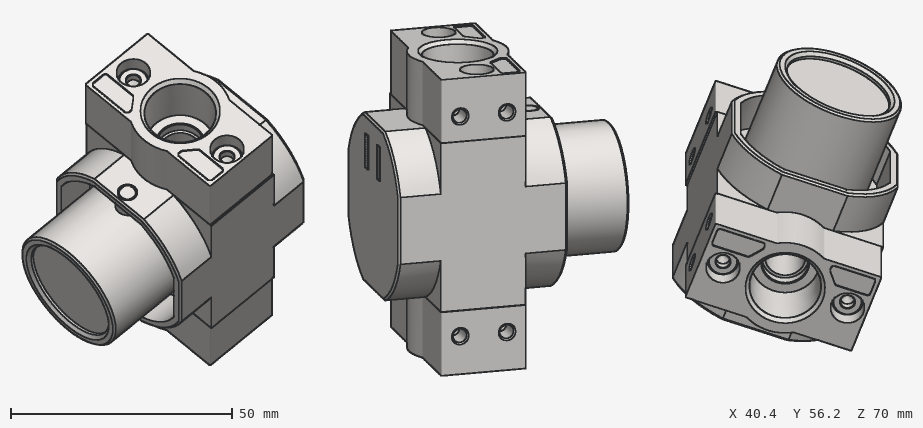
import cadquery as cq
import math

HOUSING_SIDE = 40.0
BARREL_DIAMETER = 43.0
SLAB_DEPTH = 20.0
EDGE_CHAMFER = 0.5
CAVITY_SIDE = 36.0
CAVITY_DIAMETER = 39.0
CAVITY_DEPTH = 9.0
MARK_SIZE = (2.25, 0.2, 8.0)
MARK_CENTRE_X = 4.55
MARK_CENTRE_Z = 11.6

TOTAL_HEIGHT = 70
BLOCK_SHIFT = -0.4
BULGE_DIAMETER = 23.0
BULGE_FILLET = 0.7
CORNER_FILLET = 0.3
SOCKET_DIAMETER = 16.25
SOCKET_TAPER = 1 / 16
SOCKET_RIM_DIAMETER = 18.0
SOCKET_DEPTH = 12.5
COLLAR_DIAMETER = 10.6
COLLAR_RIM_DIAMETER = 11.0
BORE_DIAMETER = 9.2

SIDE_HOLE_DIAMETER = 3.2
SIDE_HOLE_RIM_DIAMETER = 4.0
SIDE_HOLE_DEPTH = 6.0
SIDE_HOLE_Y = 5.5
SIDE_HOLE_DROP = 9.0
DRILL_POINT_ANGLE = 118

LABEL_MARGIN = 1.0
LABEL_HEIGHT = 4.55
LABEL_INNER_X = 8.0
LABEL_SLANT = (2.45, 3.1)
LABEL_FILLET = 0.7
LABEL_DEPTH = 0.35

SCREW_X = 15.0
SCREW_RECESS_DIAMETER = 7.6
SCREW_HEAD_DROP = 3.0
HEAD_DIAMETER = 7
HEAD_TOP_DIAMETER = 6.3
HEAD_HEIGHT = 4.0
SHANK_DIAMETER = 4.0
SHANK_LENGTH = 14
KEY_HOLE_DIAMETER = 3.2
KEY_HOLE_RIM_DIAMETER = 3.5
KEY_HOLE_DEPTH = 2.0

KNOB_DIAMETER = 29.95
KNOB_REACH = 16.0
KNOB_RECESS_DIAMETER = 24.8
KNOB_RECESS_RIM_DIAMETER = 26.4
KNOB_RECESS_DEPTH = 1.5
PIN_DIAMETER = 5.5
PIN_TIP_DIAMETER = 3.8
PIN_RIM_DIAMETER = 4.5
PIN_Y = -16.9
PIN_SEAT_DEPTH = 2.0

HALF_SIDE = HOUSING_SIDE / 2
HALF_SLAB = SLAB_DEPTH / 2
TOP_Z = TOTAL_HEIGHT / 2
BLOCK_HEIGHT = TOP_Z - HALF_SIDE
CAVITY_FLOOR_Y = CAVITY_DEPTH - HALF_SIDE
HEAD_TOP_Z = TOP_Z - SCREW_HEAD_DROP
HEAD_SEAT_Z = HEAD_TOP_Z - HEAD_HEIGHT
SHANK_END_Z = HEAD_SEAT_Z - SHANK_LENGTH
KNOB_RADIUS = KNOB_DIAMETER / 2
PIN_BOTTOM_Z = KNOB_RADIUS - PIN_SEAT_DEPTH
PIN_SHOULDER_Z = CAVITY_SIDE / 2


def cylinder_z(diameter, bottom, top, x=0, y=0):
    """Upright cylinder between two heights."""
    return cq.Workplane("XY", origin=(x, y, bottom)).circle(diameter / 2).extrude(top - bottom)


def cylinder_y(diameter, front, back):
    """Cylinder along Y, centred on the Y axis."""
    return cq.Workplane("XZ", origin=(0, back, 0)).circle(diameter / 2).extrude(back - front)


def rounded_square(side, diameter, front, back):
    """Square bar along Y with its four corners trimmed by a cylinder."""
    bar = cq.Workplane("XY").box(side, back - front, side).translate((0, (front + back) / 2, 0))
    return bar.intersect(cylinder_y(diameter, front, back))


def cone(large_diameter, small_diameter, length=None):
    """Cone that narrows along +Z from the origin, at 45 degrees unless a length is given."""
    height = length or (large_diameter - small_diameter) / 2
    return cq.Workplane("XY").add(cq.Solid.makeCone(large_diameter / 2, small_diameter / 2, height))


def countersink_down(large_diameter, small_diameter, top, x=0, y=0):
    """Cutter for a chamfered hole rim that opens upwards."""
    return cone(large_diameter, small_diameter).rotate((0, 0, 0), (1, 0, 0), 180).translate((x, y, top))


def drilled_hole(diameter, rim_diameter, depth):
    """Cutter along +Z from the origin: chamfered rim, straight wall and drill point."""
    point_length = diameter / 2 / math.tan(math.radians(DRILL_POINT_ANGLE / 2))
    point = cone(diameter, 0, point_length).translate((0, 0, depth))
    return cylinder_z(diameter, 0, depth).union(point).union(cone(rim_diameter, diameter))


def make_screw(x):
    """Upper cap screw: chamfered head, drilled key hole and plain shank."""
    head_chamfer = (HEAD_DIAMETER - HEAD_TOP_DIAMETER) / 2
    head = cylinder_z(HEAD_DIAMETER, HEAD_SEAT_Z, HEAD_TOP_Z).faces(">Z").chamfer(head_chamfer)
    key_hole = drilled_hole(KEY_HOLE_DIAMETER, KEY_HOLE_RIM_DIAMETER, KEY_HOLE_DEPTH)
    key_hole = key_hole.rotate((0, 0, 0), (1, 0, 0), 180).translate((0, 0, HEAD_TOP_Z))
    shank = cylinder_z(SHANK_DIAMETER, SHANK_END_Z, HEAD_SEAT_Z)
    return head.union(shank).cut(key_hole).translate((x, 0, 0))


def make_pin():
    """Stepped pin from the knob up through the housing wall."""
    body = cylinder_z(PIN_DIAMETER, PIN_BOTTOM_Z, PIN_SHOULDER_Z, y=PIN_Y)
    tip = cylinder_z(PIN_TIP_DIAMETER, PIN_SHOULDER_Z, HALF_SIDE, y=PIN_Y)
    return body.union(tip)


def make_knob():
    """Cylinder on the cavity floor with a shallow conical-edged recess in its front."""
    front = -HALF_SIDE - KNOB_REACH
    knob = cylinder_y(KNOB_DIAMETER, front, CAVITY_FLOOR_Y).faces("<Y").chamfer(EDGE_CHAMFER)
    recess = cylinder_y(KNOB_RECESS_DIAMETER, front, front + KNOB_RECESS_DEPTH)
    rim = cone(KNOB_RECESS_RIM_DIAMETER, KNOB_RECESS_DIAMETER)
    rim = rim.rotate((0, 0, 0), (1, 0, 0), -90).translate((0, front, 0))
    pin_seat = cylinder_z(PIN_DIAMETER, PIN_BOTTOM_Z, HALF_SIDE, y=PIN_Y)
    return knob.cut(recess).cut(rim).cut(pin_seat)


def make_housing():
    """Barrel and slab with the front cavity, Z passage, pin hole and screw holes."""
    barrel = rounded_square(HOUSING_SIDE, BARREL_DIAMETER, -HALF_SIDE, HALF_SIDE)
    barrel = barrel.faces("<Y or >Y").chamfer(EDGE_CHAMFER)
    slab = cq.Workplane("XY").box(HOUSING_SIDE, SLAB_DEPTH, HOUSING_SIDE)
    housing = barrel.union(slab)

    housing = housing.cut(rounded_square(CAVITY_SIDE, CAVITY_DIAMETER, -HALF_SIDE, CAVITY_FLOOR_Y))
    housing = housing.cut(cylinder_z(BORE_DIAMETER, -HALF_SIDE, HALF_SIDE))

    housing = housing.cut(cylinder_z(PIN_TIP_DIAMETER, PIN_SHOULDER_Z, HALF_SIDE, y=PIN_Y))
    housing = housing.cut(countersink_down(PIN_RIM_DIAMETER, PIN_TIP_DIAMETER, HALF_SIDE, y=PIN_Y))

    for x in (-SCREW_X, SCREW_X):
        housing = housing.cut(cylinder_z(SHANK_DIAMETER, SHANK_END_Z, HALF_SIDE, x=x))
        housing = housing.cut(cylinder_z(SHANK_DIAMETER, -HALF_SIDE, -SHANK_END_Z, x=x))

    for x in (-MARK_CENTRE_X, MARK_CENTRE_X):
        mark = cq.Workplane("XY").box(*MARK_SIZE)
        housing = housing.union(mark.translate((x, HALF_SIDE + MARK_SIZE[1] / 2, MARK_CENTRE_Z)))
    return housing


def block_outline():
    """Upper block without holes: a bar with a round bulge blended in around the socket."""
    bar = cq.Workplane("XY").box(HOUSING_SIDE, SLAB_DEPTH, BLOCK_HEIGHT)
    bar = bar.edges("|Z").fillet(CORNER_FILLET)
    bar = bar.translate((BLOCK_SHIFT, 0, HALF_SIDE + BLOCK_HEIGHT / 2))
    block = bar.union(cylinder_z(BULGE_DIAMETER, HALF_SIDE, TOP_Z))

    junction_x = math.sqrt((BULGE_DIAMETER / 2) ** 2 - HALF_SLAB ** 2)
    reach = BULGE_FILLET / 2
    near_junctions = cq.selectors.BoxSelector(
        (-junction_x - reach, -HALF_SLAB - reach, HALF_SIDE),
        (junction_x + reach, HALF_SLAB + reach, TOP_Z),
    )
    return block.edges("|Z").edges(near_junctions).fillet(BULGE_FILLET)


def label_recess(side):
    """Shallow label panel; side is -1 for the left panel and 1 for the right."""
    outer_x = BLOCK_SHIFT + side * (HALF_SIDE - LABEL_MARGIN)
    inner_x = side * LABEL_INNER_X
    low_y = -HALF_SLAB + LABEL_MARGIN
    high_y = low_y + LABEL_HEIGHT
    slant_x, slant_y = LABEL_SLANT
    outline = [
        (outer_x, low_y),
        (inner_x, low_y),
        (inner_x, high_y - slant_y),
        (inner_x + side * slant_x, high_y),
        (outer_x, high_y),
    ]
    panel = cq.Workplane("XY", origin=(0, 0, TOP_Z - LABEL_DEPTH)).polyline(outline).close()
    return panel.extrude(LABEL_DEPTH).edges("|Z").fillet(LABEL_FILLET)


def make_block():
    """Upper end block with its socket, screw recesses, side holes and label panels."""
    block = block_outline()

    socket_floor_diameter = SOCKET_DIAMETER - SOCKET_TAPER * SOCKET_DEPTH
    socket = cone(SOCKET_DIAMETER, socket_floor_diameter, SOCKET_DEPTH)
    socket = socket.rotate((0, 0, 0), (1, 0, 0), 180).translate((0, 0, TOP_Z))
    block = block.cut(socket)
    block = block.cut(countersink_down(SOCKET_RIM_DIAMETER, SOCKET_DIAMETER, TOP_Z))
    block = block.cut(cylinder_z(COLLAR_DIAMETER, HALF_SIDE, TOP_Z))
    block = block.cut(countersink_down(COLLAR_RIM_DIAMETER, COLLAR_DIAMETER, TOP_Z - SOCKET_DEPTH))

    for side in (-1, 1):
        x = side * SCREW_X
        block = block.cut(cylinder_z(SCREW_RECESS_DIAMETER, HEAD_SEAT_Z, TOP_Z, x=x))
        block = block.cut(cylinder_z(SHANK_DIAMETER, HALF_SIDE, HEAD_SEAT_Z, x=x))
        block = block.cut(label_recess(side))

    hole = drilled_hole(SIDE_HOLE_DIAMETER, SIDE_HOLE_RIM_DIAMETER, SIDE_HOLE_DEPTH)
    hole = hole.rotate((0, 0, 0), (0, 1, 0), 90)
    for y in (-SIDE_HOLE_Y, SIDE_HOLE_Y):
        block = block.cut(hole.translate((BLOCK_SHIFT - HALF_SIDE, y, TOP_Z - SIDE_HOLE_DROP)))
    return block


housing = make_housing()
knob = make_knob()
pin = make_pin()

upper_block = make_block()
lower_block = upper_block.mirror("XY")

screws = []
for screw_x in (-SCREW_X, SCREW_X):
    upper_screw = make_screw(screw_x)
    screws += [upper_screw, upper_screw.mirror("XY")]

bodies = [housing, upper_block, lower_block, knob, pin, *screws]
result = cq.Compound.makeCompound([body.solids().val() for body in bodies])